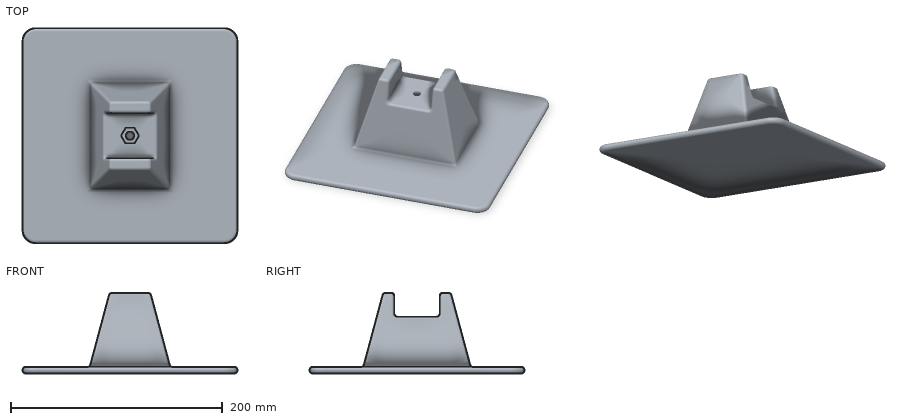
import cadquery as cq
import math

plate_side = 203.2
plate_thickness = 6.3
plate_corner_radius = 12.5
plate_rim_flat = 0.08
plate_edge_radius = (plate_thickness - plate_rim_flat) / 2

total_height = 76.2
pedestal_base_x = 76.2
pedestal_base_y = 101.5
taper_angle = 15.0
pedestal_height = total_height - plate_thickness

slot_width = 42.9
slot_depth = 22.4
slot_floor_z = total_height - slot_depth

edge_radius = 2.8

nut_across_flats = 14.6
nut_across_corners = nut_across_flats / math.cos(math.radians(30))
nut_thickness = 6.7
nut_hole_diameter = 8.0
nut_bottom_z = slot_floor_z - nut_thickness

tolerance = 0.02


def make_plate():
    """Square plate with rounded corners and rounded rims, bottom face at Z = 0."""
    return (
        cq.Workplane("XY")
        .rect(plate_side, plate_side)
        .extrude(plate_thickness)
        .edges("|Z")
        .fillet(plate_corner_radius)
        .faces("<Z or >Z")
        .edges()
        .fillet(plate_edge_radius)
    )


def make_pedestal():
    """Rectangular frustum whose four sides lean inward by the taper angle."""
    return (
        cq.Workplane("XY")
        .workplane(offset=plate_thickness)
        .rect(pedestal_base_x, pedestal_base_y)
        .extrude(pedestal_height, taper=taper_angle)
    )


def make_slot_cutter():
    """Bar along X with rounded lower edges, which leave coves along the slot floor."""
    return (
        cq.Workplane("XY")
        .workplane(offset=slot_floor_z)
        .rect(plate_side, slot_width)
        .extrude(slot_depth)
        .edges("|X and <Z")
        .fillet(edge_radius)
    )


def make_nut_blank():
    """Solid hexagonal prism, corners on the X axis, top face level with the slot floor."""
    return (
        cq.Workplane("XY")
        .workplane(offset=nut_bottom_z)
        .polygon(6, nut_across_corners)
        .extrude(nut_thickness)
    )


def is_on_pedestal(edge):
    """True for edges of the pedestal at or above the plate's top face."""
    center = edge.Center()
    is_within_x = abs(center.x) < pedestal_base_x / 2 + tolerance
    is_within_y = abs(center.y) < pedestal_base_y / 2 + tolerance
    return is_within_x and is_within_y and center.z > plate_thickness - tolerance


def is_foot(edge):
    """True for the four edges where the pedestal meets the plate."""
    return is_on_pedestal(edge) and edge.Center().z < plate_thickness + tolerance


def is_outer_edge(edge):
    """True for the pedestal's convex edges, leaving out the tangent lines of the slot and foot coves."""
    center = edge.Center()
    is_above_foot = center.z > plate_thickness + 2 * edge_radius
    is_slot_cove_line = abs(center.x) < tolerance and center.z < total_height - tolerance
    return is_on_pedestal(edge) and is_above_foot and not is_slot_cove_line


def fillet_where(body, is_wanted):
    """Round every edge of the body that passes the given test."""
    wanted_edges = [edge for edge in body.edges().vals() if is_wanted(edge)]
    return body.newObject(wanted_edges).fillet(edge_radius)


def make_housing():
    """Plate and slotted pedestal in one piece, with a recess for the nut."""
    pedestal = make_pedestal().cut(make_slot_cutter())
    body = make_plate().union(pedestal)
    body = fillet_where(body, is_foot)
    body = fillet_where(body, is_outer_edge)
    return body.cut(make_nut_blank())


def make_nut():
    """Hexagonal nut with a plain hole through it."""
    return make_nut_blank().faces(">Z").workplane().hole(nut_hole_diameter)


housing = make_housing()
nut = make_nut()

result = cq.Compound.makeCompound([housing.val(), nut.val()])